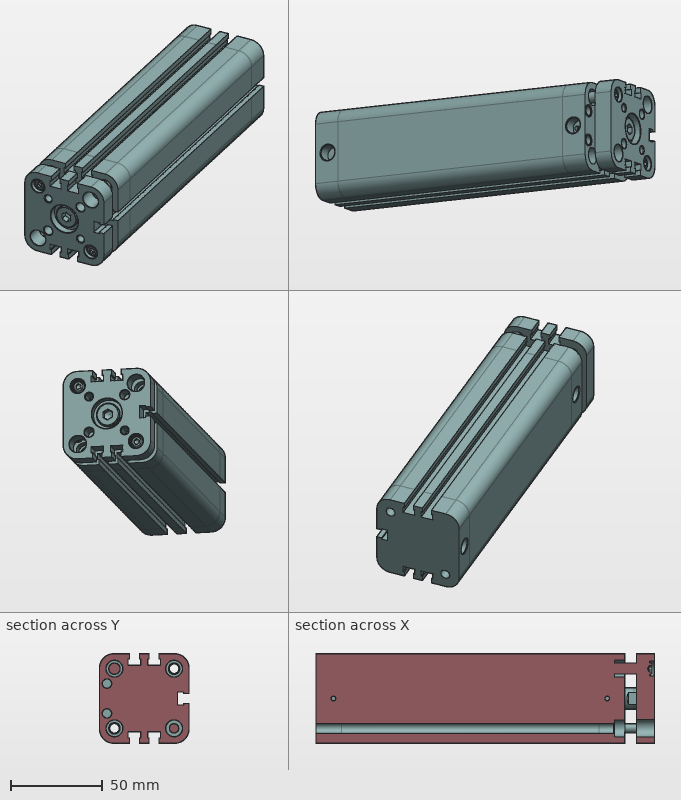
import cadquery as cq
import math


TOTAL_LENGTH = 185.2
SIDE = 49.0
CORNER_RADIUS = 8.0
PLATE_THICKNESS = 10.0
GAP = 6.3
COVER_LENGTH = 14.0

HALF_SIDE = SIDE / 2
BODY_FRONT = PLATE_THICKNESS + GAP
TUBE_FRONT = BODY_FRONT + COVER_LENGTH
TUBE_REAR = TOTAL_LENGTH - COVER_LENGTH

SLOT_OFFSET = 5.4
SLOT_MOUTH = 5.4
SLOT_INNER = 6.9
SLOT_NECK_DEPTH = 3.0
SLOT_DEPTH = 6.3

CORNER_OFFSET = 16.3
ACCESS_DIAMETER = 9.5
ACCESS_MOUTH = 9.8
COVER_BORE_DIAMETER = 9.0
COVER_BORE_DEPTH = 5.5
BODY_HOLE_DIAMETER = 5.2
BODY_HOLE_MOUTH = 6.3

ROUND_ROD_DIAMETER = 6.3
SLIM_ROD_DIAMETER = 5.2
ROD_SCREW_BORE = 8.0
ROD_SCREW_MOUTH = 8.5
ROD_SCREW_BORE_DEPTH = 2.6
ROD_SCREW_DIAMETER = 6.7
ROD_SCREW_HEIGHT = 1.1
ROD_SCREW_CHAMFER = 0.7
ROD_SCREW_HEX = 2.8
ROD_SCREW_HEX_DEPTH = 1.5

MOUNT_OFFSET = 10.0
THREAD_DIAMETER = 4.0
THREAD_MOUTH = 5.0
PIN_DIAMETER = 5.2
PIN_MOUTH = 5.7

PISTON_DIAMETER = 11.9
COLLAR_LENGTH = 1.3
FLAT_WIDTH = 10.0
FLAT_SETBACK = 1.1
CENTRE_BORE = 16.9
CENTRE_MOUTH = 17.5
CENTRE_BORE_DEPTH = 4.5
CENTRE_SCREW_DIAMETER = 13.0
CENTRE_SCREW_HEIGHT = 2.2
CENTRE_SCREW_CHAMFER = 0.5
CENTRE_HEX = 5.2
CENTRE_HEX_DEPTH = 3.7

PORT_SETBACK = 7.6
PORT_DIAMETER = 8.5
PORT_MOUTH = 9.5
PORT_DEPTH = 8.0
AIR_HOLE_DIAMETER = 2.5
AIR_HOLE_OFFSET = 2.0
AIR_HOLE_DEPTH = 2.8

ADJUSTER_X = -20.4
ADJUSTER_Z = 8.1
ADJUSTER_BORE = 6.7
ADJUSTER_BORE_DEPTH = 0.4
ADJUSTER_HOLE = 5.0
ADJUSTER_DEPTH = 3.7

ROD_POINTS = [(-CORNER_OFFSET, CORNER_OFFSET), (CORNER_OFFSET, -CORNER_OFFSET)]
ROD_DIAMETERS = [ROUND_ROD_DIAMETER, SLIM_ROD_DIAMETER]
SCREW_POINTS = [(CORNER_OFFSET, CORNER_OFFSET), (-CORNER_OFFSET, -CORNER_OFFSET)]
THREAD_POINTS = [(-MOUNT_OFFSET, MOUNT_OFFSET), (MOUNT_OFFSET, -MOUNT_OFFSET)]
PIN_POINTS = [(MOUNT_OFFSET, MOUNT_OFFSET), (-MOUNT_OFFSET, -MOUNT_OFFSET)]


def section_plane(y):
    """Plane across the part at y, with X to the right, Z up and -Y as its normal."""
    return cq.Workplane("XZ", origin=(0, y, 0))


def cylinders(points, diameter, y_start, y_end):
    """Cylinders along Y at the given (x, z) points."""
    return section_plane(y_start).pushPoints(points).circle(diameter / 2).extrude(y_start - y_end)


def mouths(points, mouth_diameter, hole_diameter, y):
    """Cones at 45 degrees that open holes to mouth_diameter on a face at y."""
    depth = (mouth_diameter - hole_diameter) / 2
    cones = cq.Workplane("XY")
    for x, z in points:
        centre = cq.Vector(x, y, z)
        cone = cq.Solid.makeCone(mouth_diameter / 2, hole_diameter / 2, depth, centre, cq.Vector(0, 1, 0))
        cones = cones.add(cone)
    return cones.combine()


def t_slot():
    """Full length T-slot cutter along Y, open at z = HALF_SIDE and centred on x = 0."""
    mouth = SLOT_MOUTH / 2
    inner = SLOT_INNER / 2
    neck_z = HALF_SIDE - SLOT_NECK_DEPTH
    floor_z = HALF_SIDE - SLOT_DEPTH
    outline = [
        (-mouth, HALF_SIDE), (-mouth, neck_z), (-inner, neck_z), (-inner, floor_z),
        (inner, floor_z), (inner, neck_z), (mouth, neck_z), (mouth, HALF_SIDE),
    ]
    return section_plane(0).polyline(outline).close().extrude(-TOTAL_LENGTH)


def block(y_start, y_end):
    """Rounded square block along Y."""
    length = y_end - y_start
    solid = cq.Workplane("XY").box(SIDE, length, SIDE).edges("|Y").fillet(CORNER_RADIUS)
    return solid.translate((0, y_start + length / 2, 0))


def socket(points, across_flats, depth, y):
    """Hexagon sockets with corners up and down, ending in a cone."""
    corner_radius = across_flats / 2 / math.cos(math.radians(30))
    tip_depth = corner_radius / 2
    prism = section_plane(0).polygon(6, 2 * corner_radius).extrude(-depth - tip_depth)
    prism = prism.rotate((0, 0, 0), (0, 1, 0), 90)
    half_outline = [(0, 0), (corner_radius, 0), (corner_radius, depth), (0, depth + tip_depth)]
    drill = cq.Workplane("XY").polyline(half_outline).close().revolve(360, (0, 0, 0), (0, 1, 0))
    tool = prism.intersect(drill)
    tools = tool.translate((points[0][0], y, points[0][1]))
    for x, z in points[1:]:
        tools = tools.union(tool.translate((x, y, z)))
    return tools


def recessed_screws(plate, points, mouth, bore, bore_depth,
                    diameter, height, chamfer, hexagon, hexagon_depth):
    """Counterbores in the plate front, each with a chamfered screw head standing on its floor."""
    plate = plate.cut(cylinders(points, bore, 0, bore_depth))
    plate = plate.cut(mouths(points, mouth, bore, 0))
    head_y = bore_depth - height
    heads = cylinders(points, diameter, head_y, bore_depth).faces("<Y").edges().chamfer(chamfer)
    plate = plate.union(heads)
    return plate.cut(socket(points, hexagon, hexagon_depth, head_y))


def make_plate():
    """Guide plate with its holes and screw heads."""
    plate = block(0, PLATE_THICKNESS)
    plate = plate.cut(cylinders(SCREW_POINTS, ACCESS_DIAMETER, 0, PLATE_THICKNESS))
    plate = plate.cut(mouths(SCREW_POINTS, ACCESS_MOUTH, ACCESS_DIAMETER, 0))
    plate = plate.cut(cylinders(THREAD_POINTS, THREAD_DIAMETER, 0, PLATE_THICKNESS))
    plate = plate.cut(mouths(THREAD_POINTS, THREAD_MOUTH, THREAD_DIAMETER, 0))
    plate = plate.cut(cylinders(PIN_POINTS, PIN_DIAMETER, 0, PLATE_THICKNESS))
    plate = plate.cut(mouths(PIN_POINTS, PIN_MOUTH, PIN_DIAMETER, 0))
    plate = recessed_screws(
        plate, ROD_POINTS, ROD_SCREW_MOUTH, ROD_SCREW_BORE, ROD_SCREW_BORE_DEPTH,
        ROD_SCREW_DIAMETER, ROD_SCREW_HEIGHT, ROD_SCREW_CHAMFER, ROD_SCREW_HEX, ROD_SCREW_HEX_DEPTH)
    return recessed_screws(
        plate, [(0, 0)], CENTRE_MOUTH, CENTRE_BORE, CENTRE_BORE_DEPTH,
        CENTRE_SCREW_DIAMETER, CENTRE_SCREW_HEIGHT, CENTRE_SCREW_CHAMFER, CENTRE_HEX, CENTRE_HEX_DEPTH)


def make_piston_rod():
    """Piston rod in the gap, with two wrench flats that end in 45 degree ramps."""
    collar_end = PLATE_THICKNESS + COLLAR_LENGTH
    collar = cylinders([(0, 0)], PISTON_DIAMETER, PLATE_THICKNESS, collar_end)
    rod = cylinders([(0, 0)], PISTON_DIAMETER, collar_end, BODY_FRONT)
    rod = rod.union(collar, clean=False)
    radius = PISTON_DIAMETER / 2
    flat_x = FLAT_WIDTH / 2
    ramp_start = BODY_FRONT - FLAT_SETBACK
    ramp_end = ramp_start - (radius - flat_x)
    outline = [(flat_x, PLATE_THICKNESS), (radius, PLATE_THICKNESS), (radius, ramp_start), (flat_x, ramp_end)]
    cutter = cq.Workplane("XY").polyline(outline).close().extrude(radius, both=True)
    return rod.cut(cutter, clean=False).cut(cutter.mirror("YZ"), clean=False)


def make_port(y, tube_direction):
    """Air port cutter on the -X side, with an air hole in its floor towards the tube."""
    into_part = cq.Vector(1, 0, 0)
    face = cq.Vector(-HALF_SIDE, y, 0)
    floor = cq.Vector(PORT_DEPTH - HALF_SIDE, y + tube_direction * AIR_HOLE_OFFSET, 0)
    mouth_depth = (PORT_MOUTH - PORT_DIAMETER) / 2
    bore = cq.Solid.makeCylinder(PORT_DIAMETER / 2, PORT_DEPTH, face, into_part)
    mouth = cq.Solid.makeCone(PORT_MOUTH / 2, PORT_DIAMETER / 2, mouth_depth, face, into_part)
    air_hole = cq.Solid.makeCylinder(AIR_HOLE_DIAMETER / 2, AIR_HOLE_DEPTH, floor, into_part)
    return cq.Workplane(bore).union(cq.Workplane(mouth)).union(cq.Workplane(air_hole))


def make_front_cover():
    """Front cover with its bores and port, plus the rods that reach the guide plate."""
    cover = block(BODY_FRONT, TUBE_FRONT)
    bore_floor = BODY_FRONT + COVER_BORE_DEPTH
    cover = cover.cut(cylinders(ROD_POINTS + SCREW_POINTS, COVER_BORE_DIAMETER, BODY_FRONT, bore_floor))
    cover = cover.cut(cylinders(SCREW_POINTS, BODY_HOLE_DIAMETER, bore_floor, TUBE_FRONT))
    cover = cover.cut(mouths(SCREW_POINTS, BODY_HOLE_MOUTH, BODY_HOLE_DIAMETER, bore_floor))
    adjusters = [(ADJUSTER_X, ADJUSTER_Z), (ADJUSTER_X, -ADJUSTER_Z)]
    cover = cover.cut(cylinders(adjusters, ADJUSTER_BORE, BODY_FRONT, BODY_FRONT + ADJUSTER_BORE_DEPTH))
    cover = cover.cut(cylinders(adjusters, ADJUSTER_HOLE, BODY_FRONT, BODY_FRONT + ADJUSTER_DEPTH))
    cover = cover.cut(make_port(BODY_FRONT + PORT_SETBACK, 1))
    for point, diameter in zip(ROD_POINTS, ROD_DIAMETERS):
        cover = cover.union(cylinders([point], diameter, PLATE_THICKNESS, bore_floor))
    return cover.union(make_piston_rod(), clean=False)


def make_tube():
    """Tube with the through holes of the body screws."""
    tube = block(TUBE_FRONT, TUBE_REAR)
    return tube.cut(cylinders(SCREW_POINTS, BODY_HOLE_DIAMETER, TUBE_FRONT, TUBE_REAR))


def make_rear_cover():
    """Rear cover with its through holes and port."""
    cover = block(TUBE_REAR, TOTAL_LENGTH)
    cover = cover.cut(cylinders(SCREW_POINTS, BODY_HOLE_DIAMETER, TUBE_REAR, TOTAL_LENGTH))
    return cover.cut(make_port(TOTAL_LENGTH - PORT_SETBACK, -1))


def slot_cutters():
    """Two slots on the top, two on the bottom and one in the middle of the +X side."""
    slot = t_slot()
    cutters = [slot.rotate((0, 0, 0), (0, 1, 0), 90)]
    for offset in (-SLOT_OFFSET, SLOT_OFFSET):
        top_slot = slot.translate((offset, 0, 0))
        cutters += [top_slot, top_slot.mirror("XY")]
    return cutters


result = make_plate()
for section in (make_front_cover(), make_tube(), make_rear_cover()):
    result = result.union(section, clean=False)
for cutter in slot_cutters():
    result = result.cut(cutter, clean=False)